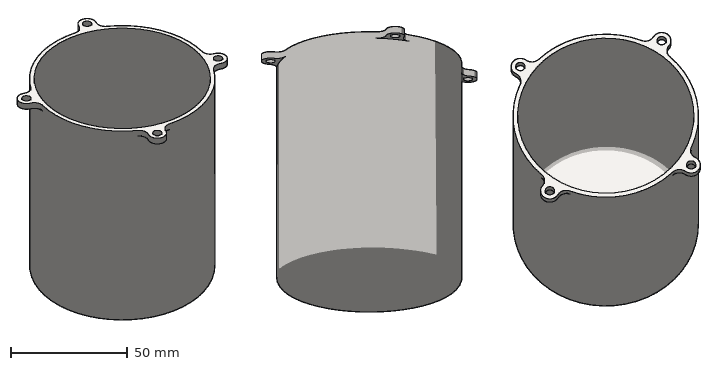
import cadquery as cq
import math

height = 100.0
outer_diameter = 80.0
wall = 2.0
floor_thickness = wall
edge_radius = 2.0

ear_count = 4
ear_thickness = 3.0
ear_radius = 4.0
hole_diameter = 4.0
hole_circle_radius = 44.0
blend_radius = 4.0

outer_radius = outer_diameter / 2
inner_radius = outer_radius - wall


def make_cup_body():
    """Solid cylinder with a rounded bottom edge."""
    body = cq.Workplane("XY").circle(outer_radius).extrude(height)
    return body.faces("<Z").edges().fillet(edge_radius)


def make_cavity():
    """Volume inside the cup, rounded where the wall meets the floor."""
    cavity = (
        cq.Workplane("XY")
        .workplane(offset=floor_thickness)
        .circle(inner_radius)
        .extrude(height - floor_thickness)
    )
    return cavity.faces("<Z").edges().fillet(edge_radius)


def make_ear():
    """Ear on the +X side, its flanks blending tangentially into the cup wall."""
    blend_y = ear_radius + blend_radius
    blend_x = math.sqrt((outer_radius + blend_radius) ** 2 - blend_y**2)

    wall_scale = outer_radius / (outer_radius + blend_radius)
    wall_x = blend_x * wall_scale
    wall_y = blend_y * wall_scale

    wall_angle = math.atan2(-blend_y, -blend_x)
    flank_angle = -math.pi / 2
    middle_angle = (wall_angle + flank_angle) / 2
    middle_x = blend_x + blend_radius * math.cos(middle_angle)
    middle_y = blend_y + blend_radius * math.sin(middle_angle)

    return (
        cq.Workplane("XY")
        .workplane(offset=height - ear_thickness)
        .moveTo(inner_radius, -wall_y)
        .lineTo(wall_x, -wall_y)
        .threePointArc((middle_x, -middle_y), (blend_x, -ear_radius))
        .lineTo(hole_circle_radius, -ear_radius)
        .threePointArc((hole_circle_radius + ear_radius, 0), (hole_circle_radius, ear_radius))
        .lineTo(blend_x, ear_radius)
        .threePointArc((middle_x, middle_y), (wall_x, wall_y))
        .lineTo(inner_radius, wall_y)
        .close()
        .moveTo(hole_circle_radius, 0)
        .circle(hole_diameter / 2)
        .extrude(ear_thickness)
    )


result = make_cup_body()
ear = make_ear()
for index in range(ear_count):
    result = result.union(ear.rotate((0, 0, 0), (0, 0, 1), index * 360 / ear_count))
result = result.cut(make_cavity())